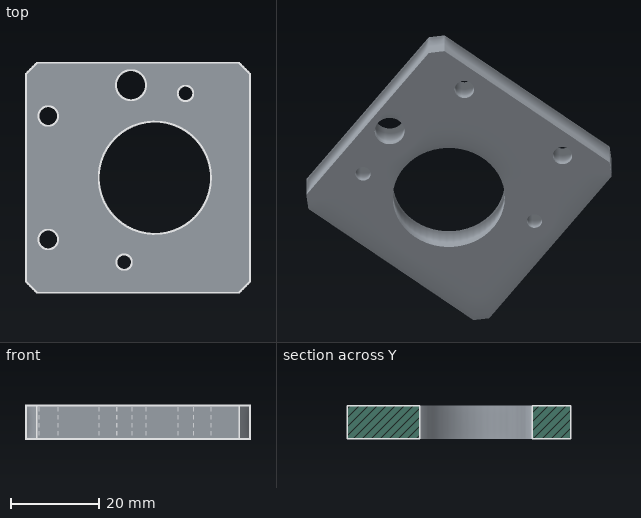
import cadquery as cq
import math

plate_width = 50.8
plate_depth = 52.07
plate_thickness = 7.62
corner_chamfer = 2.54

bore_diameter = 25.375
bore_x = 3.81

screw_diameter = 3.454
screw_circle_radius = 20.32
screw_angle = math.radians(70)

mount_diameter = 4.394
mount_x = -20.32
mount_spacing = 27.94

clearance_diameter = 6.756
clearance_center = (-1.59, 20.955)


def make_plate():
    """Rectangular plate with its four vertical corners chamfered."""
    plate = cq.Workplane("XY").box(
        plate_width, plate_depth, plate_thickness, centered=(True, True, False)
    )
    return plate.edges("|Z").chamfer(corner_chamfer)


def cut_through_holes(body, centers, diameter):
    """Drill holes of one diameter through the full thickness."""
    drills = (
        cq.Workplane("XY")
        .pushPoints(centers)
        .circle(diameter / 2)
        .extrude(plate_thickness)
    )
    return body.cut(drills)


screw_dx = screw_circle_radius * math.cos(screw_angle)
screw_dy = screw_circle_radius * math.sin(screw_angle)
screw_centers = [(bore_x + side * screw_dx, side * screw_dy) for side in (-1, 1)]
mount_centers = [(mount_x, side * mount_spacing / 2) for side in (-1, 1)]

result = make_plate()
result = cut_through_holes(result, [(bore_x, 0)], bore_diameter)
result = cut_through_holes(result, screw_centers, screw_diameter)
result = cut_through_holes(result, mount_centers, mount_diameter)
result = cut_through_holes(result, [clearance_center], clearance_diameter)